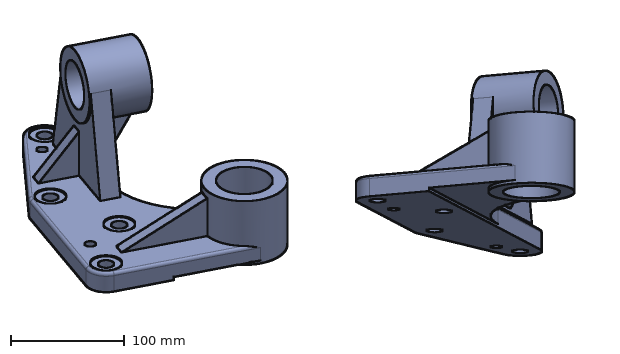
import cadquery as cq
import math

length = 277.0
plate_thickness = 19.0
corner_radius = 19.0
edge_round = 3.0
underside_step = 3.0
right_hole_x = length - corner_radius
end_x = corner_radius
end_y = 56.5
bend_x = 126.0
middle_hole_x = 195.5
rear_y = end_y + corner_radius

bolt_diameter = 14.0
spotface_diameter = 28.0
spotface_depth = 1.0
dowel_diameter = 10.0
bolt_points = [
    (end_x, end_y),
    (bend_x, corner_radius),
    (right_hole_x, corner_radius),
    (middle_hole_x, end_y),
]
dowel_points = [(44.0, 44.0), (220.5, corner_radius)]

boss_radius = 38.0
boss_bore_radius = 25.0
boss_height = 64.0
boss_x = length - boss_radius
boss_y = 157.5
boss_left_x = boss_x - boss_radius

barrel_radius = 34.5
barrel_bore_radius = 22.2
barrel_length = 59.5
barrel_x = 94.5
barrel_z = 107.2
barrel_front_y = 54.8
wall_half_base = 56.2

rib_width = 12.5
front_rib_y = 18.0
front_rib_z = 63.1
rear_rib_foot_z = 22.7
rear_rib_tip_y = 106.5
rear_rib_tip_z = 72.8
boss_rib_y = 38.8
boss_rib_z = 56.8

cove_radius = 83.5
cove_y = rear_y + cove_radius
cove_x = boss_left_x - cove_radius


def tangent_offset(dx, dy, radius):
    """Offset of given radius, perpendicular to direction (dx, dy) on its right-hand side."""
    span = math.hypot(dx, dy)
    return dy / span * radius, -dx / span * radius


def make_plate():
    slant_x, slant_y = tangent_offset(bend_x - end_x, corner_radius - end_y, corner_radius)
    diagonal = math.sqrt(0.5)
    bend_angle = math.atan2(slant_y, slant_x)
    bend_middle = (bend_angle - math.pi / 2) / 2
    outline = (
        cq.Workplane("XY")
        .moveTo(end_x, rear_y)
        .threePointArc((0, end_y), (end_x + slant_x, end_y + slant_y))
        .lineTo(bend_x + slant_x, corner_radius + slant_y)
        .threePointArc(
            (
                bend_x + corner_radius * math.cos(bend_middle),
                corner_radius + corner_radius * math.sin(bend_middle),
            ),
            (bend_x, 0),
        )
        .lineTo(right_hole_x, 0)
        .threePointArc(
            (right_hole_x + corner_radius * diagonal, corner_radius - corner_radius * diagonal),
            (length, corner_radius),
        )
        .lineTo(length, boss_y)
        .lineTo(cove_x, boss_y)
        .lineTo(cove_x, rear_y)
        .close()
    )
    plate = outline.extrude(plate_thickness)
    rounded_edges = plate.faces(">Z").edges().filter(
        lambda edge: edge.Center().y <= rear_y + edge_round or edge.Center().x > right_hole_x
    )
    plate = plate.newObject(rounded_edges.vals()).fillet(edge_round)
    cove = cq.Workplane("XY").center(cove_x, cove_y).circle(cove_radius).extrude(plate_thickness)
    plate = plate.cut(cove)
    relief = cq.Workplane("XY").box(length, boss_y, underside_step, centered=False)
    return plate.cut(relief.translate((0, rear_y, 0)))


def make_wall():
    rise = barrel_z - plate_thickness
    reach = math.hypot(wall_half_base, rise)
    angle = math.atan2(-rise, wall_half_base) + math.acos(barrel_radius / reach)
    tangent_x = barrel_radius * math.cos(angle)
    tangent_z = barrel_z + barrel_radius * math.sin(angle)
    return (
        cq.Workplane("XZ", origin=(barrel_x, rear_y, 0))
        .moveTo(-wall_half_base, plate_thickness)
        .lineTo(wall_half_base, plate_thickness)
        .lineTo(tangent_x, tangent_z)
        .lineTo(-tangent_x, tangent_z)
        .close()
        .extrude(rear_y - end_y)
    )


def make_rib(center_x, profile):
    """Extrude a (Y, Z) profile symmetrically about center_x."""
    return (
        cq.Workplane("YZ", origin=(center_x, 0, 0))
        .polyline(profile).close()
        .extrude(rib_width / 2, both=True)
    )


def y_cylinder(radius):
    rear = barrel_front_y + barrel_length
    return cq.Workplane("XZ", origin=(barrel_x, rear, barrel_z)).circle(radius).extrude(barrel_length)


def z_cylinder(radius):
    return cq.Workplane("XY").center(boss_x, boss_y).circle(radius).extrude(boss_height)


front_rib = make_rib(barrel_x, [
    (front_rib_y, plate_thickness),
    (end_y, plate_thickness),
    (end_y, front_rib_z),
])
rear_rib = make_rib(barrel_x, [
    (rear_y, rear_rib_foot_z),
    (rear_rib_tip_y, rear_rib_tip_z),
    (rear_rib_tip_y, barrel_z),
    (rear_y, barrel_z),
])
boss_rib = make_rib(boss_x, [
    (boss_rib_y, plate_thickness),
    (boss_y, plate_thickness),
    (boss_y, boss_rib_z),
    (boss_y - boss_radius, boss_rib_z),
])

body = make_plate()
for feature in (
    make_wall(), front_rib, rear_rib, boss_rib,
    y_cylinder(barrel_radius), z_cylinder(boss_radius),
):
    body = body.union(feature)

bolt_holes = cq.Workplane("XY").pushPoints(bolt_points).circle(bolt_diameter / 2).extrude(plate_thickness)
dowel_holes = cq.Workplane("XY").pushPoints(dowel_points).circle(dowel_diameter / 2).extrude(plate_thickness)
spotfaces = (
    cq.Workplane("XY", origin=(0, 0, plate_thickness))
    .pushPoints(bolt_points).circle(spotface_diameter / 2).extrude(-spotface_depth)
)
for opening in (
    bolt_holes, dowel_holes, spotfaces,
    y_cylinder(barrel_bore_radius), z_cylinder(boss_bore_radius),
):
    body = body.cut(opening)

result = body